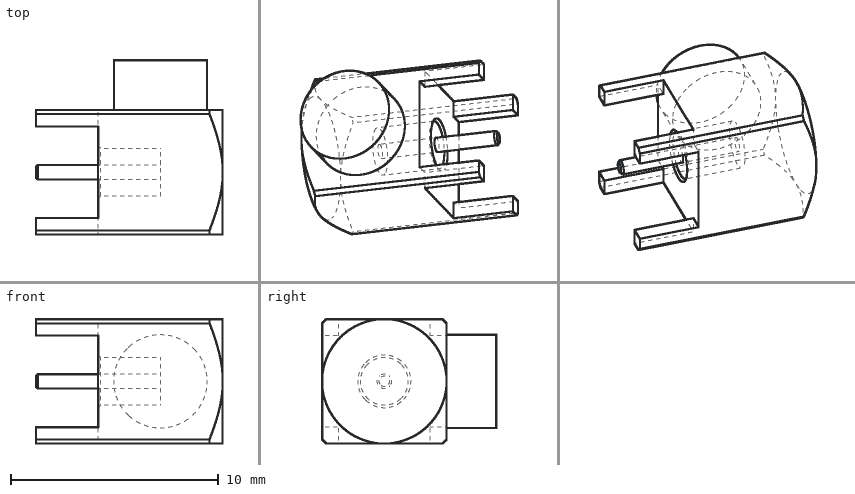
import cadquery as cq


block_size = 6.0
half_block = block_size / 2
bar_diameter = 8.2
end_chamfer_angle = 30.0

leg_length = 3.0
leg_width = 0.8
leg_gap = block_size - 2 * leg_width
leg_tip_x = -half_block - leg_length
total_length = block_size + leg_length

barrel_diameter = 4.5
barrel_length = 2.4

bore_radius = 1.15
countersink = 0.125
bore_depth = half_block

pin_diameter = 0.7
pin_tip_chamfer = 0.1


def cylinder_along_x(diameter, start_x, end_x):
    """Solid cylinder on the X axis."""
    return (
        cq.Workplane("YZ", origin=(start_x, 0, 0))
        .circle(diameter / 2)
        .extrude(end_x - start_x)
    )


def make_block_with_legs():
    """Square bar milled from round stock, cut away crosswise to leave four legs."""
    bar = (
        cq.Workplane("YZ", origin=(leg_tip_x, 0, 0))
        .rect(block_size, block_size)
        .extrude(total_length)
        .intersect(cylinder_along_x(bar_diameter, leg_tip_x, half_block))
    )
    leg_end_plane = cq.Workplane("YZ", origin=(leg_tip_x, 0, 0))
    gap_along_y = leg_end_plane.rect(block_size, leg_gap).extrude(leg_length)
    gap_along_z = leg_end_plane.rect(leg_gap, block_size).extrude(leg_length)
    return bar.cut(gap_along_y).cut(gap_along_z)


def make_end_cone():
    """Round cone that trims the block corners; it meets the end face in a circle touching all four sides."""
    return (
        cq.Workplane("YZ", origin=(half_block, 0, 0))
        .circle(half_block)
        .extrude(-total_length, taper=-(90.0 - end_chamfer_angle))
    )


def make_bore():
    """Blind bore with a conical entry that fades out at the insulator face."""
    entry = (
        cq.Workplane("YZ", origin=(-half_block, 0, 0))
        .circle(bore_radius + countersink)
        .workplane(offset=countersink)
        .circle(bore_radius)
        .loft(ruled=True)
    )
    return entry.union(cylinder_along_x(2 * bore_radius, -half_block, -half_block + bore_depth))


def make_housing():
    """Block, legs and barrel in one piece."""
    barrel = (
        cq.Workplane("XZ", origin=(0, half_block, 0))
        .circle(barrel_diameter / 2)
        .extrude(-barrel_length)
    )
    return make_block_with_legs().intersect(make_end_cone()).union(barrel).cut(make_bore())


def make_pin():
    """Straight round contact with a chamfered free end."""
    pin = cylinder_along_x(pin_diameter, leg_tip_x, -half_block + bore_depth)
    return pin.faces("<X").chamfer(pin_tip_chamfer)


def make_insulator():
    """Sleeve that fills the bore around the pin, below the conical entry."""
    sleeve = cylinder_along_x(2 * bore_radius, -half_block + countersink, -half_block + bore_depth)
    return sleeve.cut(make_pin())


housing = make_housing()
insulator = make_insulator()
pin = make_pin()

result = cq.Compound.makeCompound([housing.val(), insulator.val(), pin.val()])